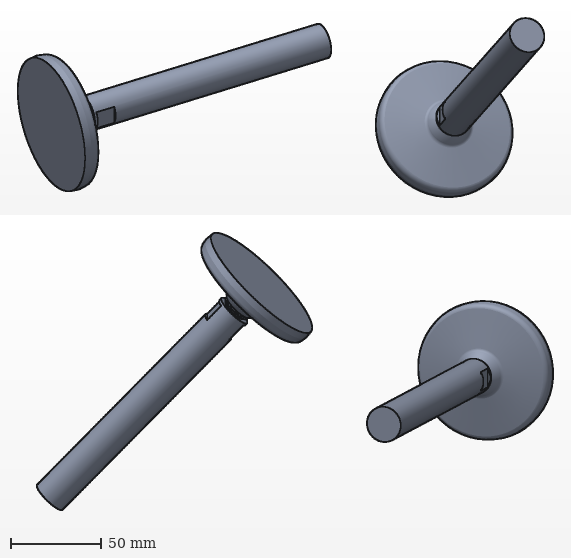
import cadquery as cq

overall_length = 172.0

foot_radius = 78.0 / 2
widest_height = 4.1
rim_edge_radius = 38.5
shoulder_start_height = 6.7
shoulder_mid_radius = 37.8
shoulder_mid_height = 8.6
dish_outer_radius = 36.1
dish_outer_height = 9.8
dish_inner_radius = 14.1
dish_inner_height = 13.6
blend_mid_radius = 13.0
blend_mid_height = 14.1
dome_base_radius = 12.4
dome_base_height = 15.0
dome_mid_radius = 10.7
dome_mid_height = 17.4
foot_top_radius = 8.0
foot_top_height = 19.6

rod_radius = 20.0 / 2
rod_start_height = 22.2
neck_radius = 6.7
collar_radius = 8.5
collar_height = 20.6
flat_start_height = 23.9
flat_end_height = 35.3
flat_spacing = 16.9


def revolve_about_y(profile):
    """Revolve a closed (radius, height) profile into a solid around the Y axis."""
    return profile.close().revolve(360, (0, 0, 0), (0, 1, 0))


def make_foot():
    """Dished round foot with a domed hub on top."""
    profile = (
        cq.Workplane("XY")
        .lineTo(rim_edge_radius, 0)
        .lineTo(foot_radius, widest_height)
        .lineTo(rim_edge_radius, shoulder_start_height)
        .threePointArc((shoulder_mid_radius, shoulder_mid_height), (dish_outer_radius, dish_outer_height))
        .lineTo(dish_inner_radius, dish_inner_height)
        .threePointArc((blend_mid_radius, blend_mid_height), (dome_base_radius, dome_base_height))
        .threePointArc((dome_mid_radius, dome_mid_height), (foot_top_radius, foot_top_height))
        .lineTo(0, foot_top_height)
    )
    return revolve_about_y(profile)


def make_flat_cutter(side):
    """Block that removes the rod material outside one wrench flat; side is -1 or +1."""
    depth = rod_radius
    length = flat_end_height - flat_start_height
    return cq.Workplane("XY").box(depth, length, 2 * rod_radius).translate(
        (side * (flat_spacing + depth) / 2, (flat_start_height + flat_end_height) / 2, 0)
    )


def make_spindle():
    """Plain rod with two wrench flats and a flared collar that rests on the foot."""
    profile = (
        cq.Workplane("XY")
        .moveTo(0, foot_top_height)
        .lineTo(foot_top_radius, foot_top_height)
        .lineTo(collar_radius, collar_height)
        .lineTo(neck_radius, rod_start_height)
        .lineTo(rod_radius, rod_start_height)
        .lineTo(rod_radius, overall_length)
        .lineTo(0, overall_length)
    )
    spindle = revolve_about_y(profile)
    for side in (-1, 1):
        spindle = spindle.cut(make_flat_cutter(side))
    return spindle


foot = make_foot()
spindle = make_spindle()

result = cq.Compound.makeCompound([foot.val(), spindle.val()])